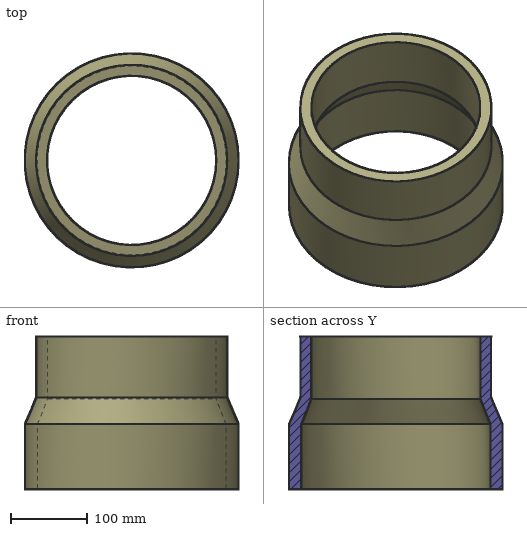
import cadquery as cq

large_diameter = 280.0
small_diameter = 250.0
large_wall = 16.5
small_wall = 14.5
total_height = 200.0
large_length = 85.0
small_length = 79.5
small_bore_length = 81.8


def stepped_body(wide_radius, narrow_radius, narrow_length):
    """Solid of revolution: wide cylinder, cone, then narrow cylinder."""
    cone_top = total_height - narrow_length
    half_profile = (
        cq.Workplane("XZ")
        .moveTo(0, 0)
        .lineTo(wide_radius, 0)
        .lineTo(wide_radius, large_length)
        .lineTo(narrow_radius, cone_top)
        .lineTo(narrow_radius, total_height)
        .lineTo(0, total_height)
        .close()
    )
    return half_profile.revolve(360, (0, 0, 0), (0, 1, 0))


large_radius = large_diameter / 2
small_radius = small_diameter / 2

outside = stepped_body(large_radius, small_radius, small_length)
bore = stepped_body(large_radius - large_wall, small_radius - small_wall, small_bore_length)

result = outside.cut(bore)